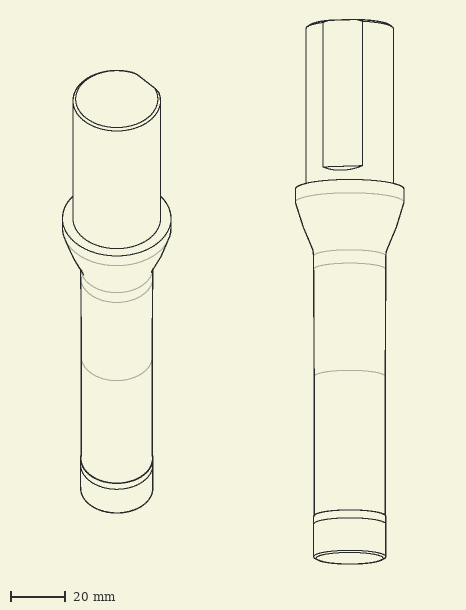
import cadquery as cq

total_length = 197.0

collar_split_z = 13.0
collar_top_z = 16.0
taper_bottom_z = 67.5
taper_top_z = 107.2
neck_top_z = 112.0
flange_bottom_z = 132.0
flange_top_z = 137.0

shank_diameter = 32.0
flange_diameter = 39.5
neck_diameter = 26.4
stem_diameter = 26.0
head_diameter = 26.4

flare_lower_point = (14.0, 115.8)
flare_upper_point = (16.4, 121.2)
flare_bottom_tangent = (0, 1)
flare_top_tangent = (0.3, 1)

shank_chamfer_radial = 1.0
shank_chamfer_height = 0.8
head_chamfer_radial = 1.0
head_chamfer_height = 0.5

tip_cone_height = 0.4

flat_offset = 14.2
flat_runout_z = 141.0


def make_holder():
    """Revolved holder: collar, stem, taper, neck, flare, flange and shank."""
    shank_radius = shank_diameter / 2
    return (
        cq.Workplane("XZ")
        .moveTo(0, collar_split_z)
        .lineTo(head_diameter / 2, collar_split_z)
        .lineTo(head_diameter / 2, collar_top_z)
        .lineTo(stem_diameter / 2, collar_top_z)
        .lineTo(stem_diameter / 2, taper_bottom_z)
        .lineTo(neck_diameter / 2, taper_top_z)
        .lineTo(neck_diameter / 2, neck_top_z)
        .spline(
            [flare_lower_point, flare_upper_point, (flange_diameter / 2, flange_bottom_z)],
            tangents=[flare_bottom_tangent, flare_top_tangent],
            includeCurrent=True,
        )
        .lineTo(flange_diameter / 2, flange_top_z)
        .lineTo(shank_radius, flange_top_z)
        .lineTo(shank_radius, total_length - shank_chamfer_height)
        .lineTo(shank_radius - shank_chamfer_radial, total_length)
        .lineTo(0, total_length)
        .close()
        .revolve(360, (0, 0), (0, 1))
    )


def make_flat_cutter():
    """Block that cuts the shank flat, ending below in a 45 degree runout."""
    depth = shank_diameter / 2 - flat_offset
    outer_y = shank_diameter / 2
    return (
        cq.Workplane("YZ")
        .moveTo(outer_y, flat_runout_z)
        .lineTo(flat_offset, flat_runout_z + depth)
        .lineTo(flat_offset, total_length)
        .lineTo(outer_y, total_length)
        .close()
        .extrude(shank_diameter / 2, both=True)
    )


def make_cutting_head():
    """Round head at the tip, with a chamfered edge and a shallow conical end."""
    radius = head_diameter / 2
    return (
        cq.Workplane("XZ")
        .lineTo(radius - head_chamfer_radial, tip_cone_height)
        .lineTo(radius, tip_cone_height + head_chamfer_height)
        .lineTo(radius, collar_split_z)
        .lineTo(0, collar_split_z)
        .close()
        .revolve(360, (0, 0), (0, 1))
    )


holder = make_holder().cut(make_flat_cutter())
cutting_head = make_cutting_head()

result = cq.Compound.makeCompound([holder.val(), cutting_head.val()])